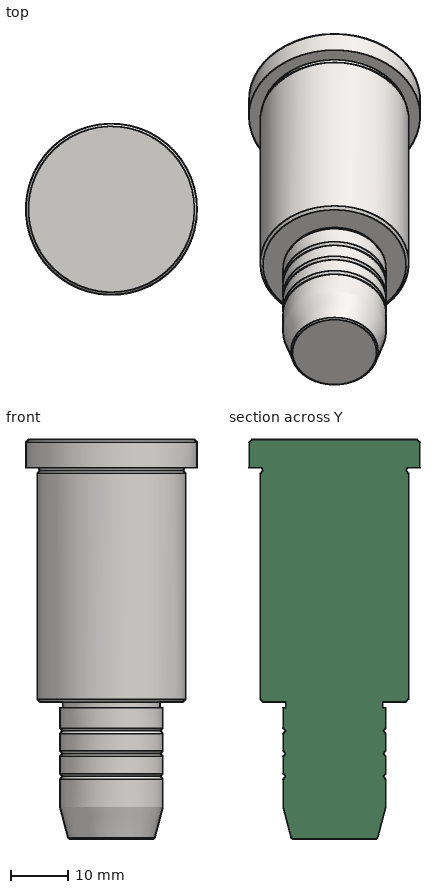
import cadquery as cq

total_height = 70.0
head_diameter = 30.0
head_radius = head_diameter / 2
head_thickness = 5.0
head_chamfer = 0.5

body_radius = 13.0
body_bottom_z = 24.0
body_chamfer = 0.5

relief_radius = 12.6
relief_top_radius = 12.8
relief_bottom_drop = 1.0
relief_floor_drop = 0.5

shank_radius = 9.0
neck_radius = 8.55
neck_height = 1.0

groove_width = 1.0
groove_depth = 0.4
groove_count = 3
groove_pitch = 4.0
lowest_groove_z = 11.0

taper_height = 5.6
taper_end_radius = 7.6
tip_radius = 7.35
tip_break_height = 0.3


def revolve_profile(points):
    """Turn a closed (radius, height) outline around the Z axis."""
    return cq.Workplane("XZ").polyline(points).close().revolve(360, (0, 0, 0), (0, 1, 0))


def v_groove(center_z):
    """Ring of triangular section that cuts one groove into the shank."""
    overshoot = 2.0
    outer_half_width = groove_width / 2 * overshoot
    outer_radius = shank_radius + groove_depth * (overshoot - 1)
    return revolve_profile([
        (shank_radius - groove_depth, center_z),
        (outer_radius, center_z - outer_half_width),
        (outer_radius, center_z + outer_half_width),
    ])


head_bottom_z = total_height - head_thickness
neck_bottom_z = body_bottom_z - neck_height
result = revolve_profile([
    (0, 0),
    (tip_radius, 0),
    (taper_end_radius, tip_break_height),
    (shank_radius, taper_height),
    (shank_radius, neck_bottom_z),
    (neck_radius, neck_bottom_z),
    (neck_radius, body_bottom_z),
    (body_radius - body_chamfer, body_bottom_z),
    (body_radius, body_bottom_z + body_chamfer),
    (body_radius, head_bottom_z - relief_bottom_drop),
    (relief_radius, head_bottom_z - relief_floor_drop),
    (relief_top_radius, head_bottom_z),
    (head_radius, head_bottom_z),
    (head_radius, total_height - head_chamfer),
    (head_radius - head_chamfer, total_height),
    (0, total_height),
])

for index in range(groove_count):
    result = result.cut(v_groove(lowest_groove_z + index * groove_pitch))